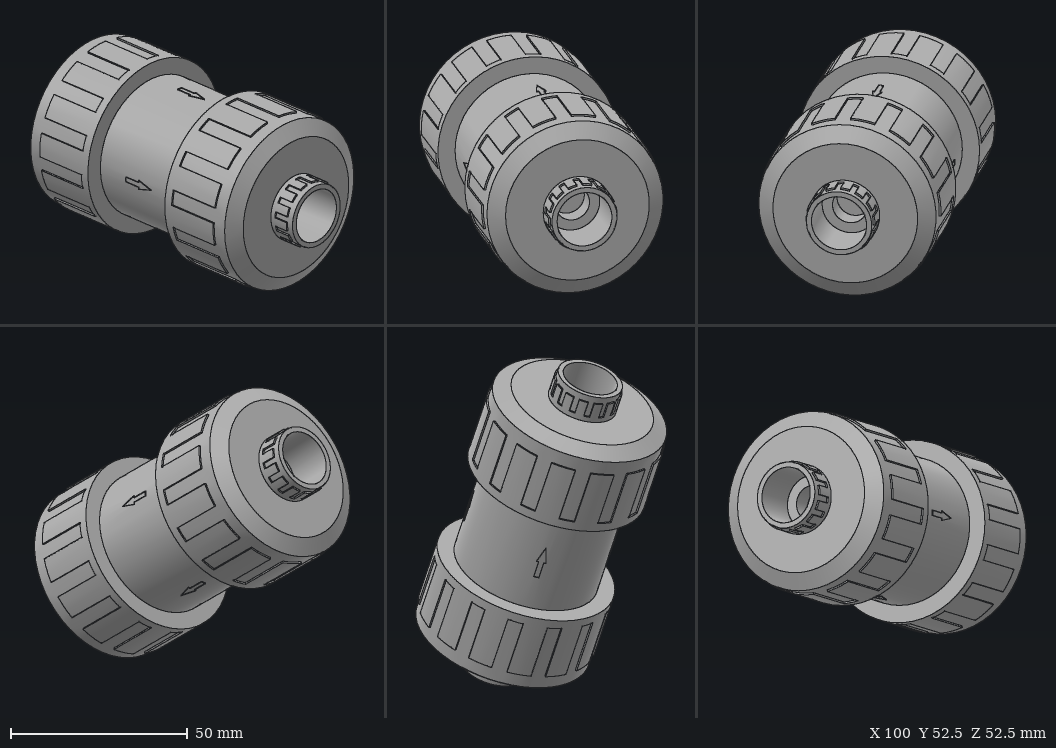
import cadquery as cq
import math

overall_length = 100.0
half_length = overall_length / 2

barrel_diameter = 42.5

nut_inner_x = 15.5
nut_outer_x = 41.8
nut_diameter = 51.5
nut_grip_diameter = 52.5
nut_face_diameter = 42.0
nut_chamfer_length = 2.7
nut_collar_length = 2.7
nut_rib_length = 16.7

sleeve_diameter = 19.0
sleeve_grip_diameter = 20.0
sleeve_collar_length = 1.6
sleeve_rib_length = 4.6
socket_diameter = 16.0
socket_depth = 14.0
passage_diameter = 10.0
passage_depth = 6.0

rib_count = 14
rib_pitch = 360.0 / rib_count
groove_angle = 10.0

arrow_count = 4
arrow_tail_x = -5.1
arrow_neck_x = 0.0
arrow_tip_x = 5.0
arrow_shaft_width = 1.5
arrow_head_width = 2.8
arrow_raise = 0.2


def cylinder(diameter, start_x, end_x):
    """Solid cylinder along X between two stations."""
    return cq.Workplane("YZ", origin=(start_x, 0, 0)).circle(diameter / 2).extrude(end_x - start_x)


def grip(core_diameter, rib_diameter, rib_start_x, rib_end_x, collar_end_x):
    """Collar with ribs on its -X side.

    The grooves between the ribs are sectors starting at the +Z line and turning towards +Y.
    """
    angle = math.radians(groove_angle)
    body = cylinder(rib_diameter, rib_start_x, collar_end_x)
    reach = rib_diameter
    sector = (
        cq.Workplane("YZ", origin=(rib_start_x, 0, 0))
        .polyline([
            (0, 0),
            (0, reach),
            (reach * math.sin(angle), reach * math.cos(angle)),
        ])
        .close()
        .extrude(rib_end_x - rib_start_x)
    )
    groove = sector.cut(cylinder(core_diameter, rib_start_x, rib_end_x))
    for index in range(rib_count):
        body = body.cut(groove.rotate((0, 0, 0), (1, 0, 0), index * rib_pitch))
    return body


def left_nut():
    """Union nut at the -X end."""
    core = (
        cq.Workplane("XY")
        .polyline([
            (-nut_outer_x, 0),
            (-nut_outer_x, nut_face_diameter / 2),
            (-nut_outer_x + nut_chamfer_length, nut_diameter / 2),
            (-nut_inner_x, nut_diameter / 2),
            (-nut_inner_x, 0),
        ])
        .close()
        .revolve(360, (0, 0, 0), (1, 0, 0))
    )
    collar_x = -nut_inner_x - nut_collar_length
    ribs = grip(nut_diameter, nut_grip_diameter, collar_x - nut_rib_length, collar_x, -nut_inner_x)
    return core.union(ribs)


def left_sleeve():
    """Pipe sleeve at the -X end, standing out from the nut face."""
    collar_x = -nut_outer_x - sleeve_collar_length
    core = cylinder(sleeve_diameter, -half_length, -nut_outer_x)
    ribs = grip(sleeve_diameter, sleeve_grip_diameter, collar_x - sleeve_rib_length, collar_x, -nut_outer_x)
    return core.union(ribs)


def left_bore():
    """Pipe socket followed by a narrower blind passage."""
    floor_x = -half_length + socket_depth
    socket = cylinder(socket_diameter, -half_length, floor_x)
    return socket.union(cylinder(passage_diameter, floor_x, floor_x + passage_depth))


def flow_arrow():
    """Raised arrow on top of the barrel, pointing to +X."""
    shaft = arrow_shaft_width / 2
    head = arrow_head_width / 2
    prism = (
        cq.Workplane("XY")
        .polyline([
            (arrow_tail_x, -shaft),
            (arrow_neck_x, -shaft),
            (arrow_neck_x, -head),
            (arrow_tip_x, 0),
            (arrow_neck_x, head),
            (arrow_neck_x, shaft),
            (arrow_tail_x, shaft),
        ])
        .close()
        .extrude(barrel_diameter)
    )
    return prism.intersect(cylinder(barrel_diameter + 2 * arrow_raise, arrow_tail_x, arrow_tip_x))


def at_both_ends(left):
    """The left-end shape and its copy turned half a turn about Z."""
    return left.union(left.rotate((0, 0, 0), (0, 0, 1), 180))


end_fitting = left_nut().union(left_sleeve())
result = cylinder(barrel_diameter, -nut_inner_x, nut_inner_x).union(at_both_ends(end_fitting))

for arrow_index in range(arrow_count):
    turn = arrow_index * 360 / arrow_count
    result = result.union(flow_arrow().rotate((0, 0, 0), (1, 0, 0), turn))

result = result.cut(at_both_ends(left_bore()))